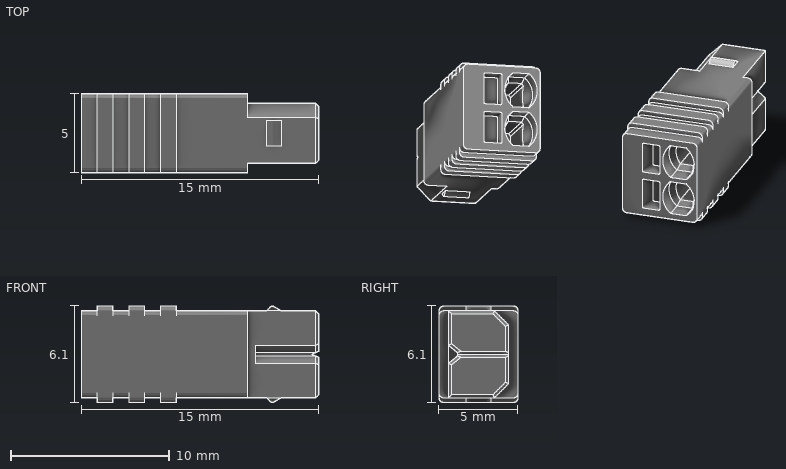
import cadquery as cq
import math

body_length = 10.5
body_width = 5.0
body_height = 5.5
edge_radius = 0.3

ridge_count = 3
ridge_width = 1.0
ridge_pitch = 2.0
ridge_start = 1.0
ridge_height = 0.3

total_length = 15.0
plug_width = 3.8
plug_half_width = plug_width / 2
half_height = body_height / 2
key_flat_edge = 1.0
key_slope = math.radians(45)
end_chamfer = 0.2

groove_start = 11.0
groove_depth = 0.58
groove_mouth_half = 0.57
groove_floor_half = 0.1

notch_depth = 0.44
notch_mouth_half = 0.19

latch_start = 11.7
latch_length = 0.93
latch_width = 1.6
latch_steep = math.radians(45)
latch_shallow = math.radians(30)
latch_tip_radius = 0.17

position_pitch = 2.5
position_heights = (-position_pitch / 2, position_pitch / 2)

window_y_min = 0.0
window_y_max = 1.15
window_height = 2.0
window_depth = 1.2
window_taper = 0.28
window_corner = 0.08

port_y = -1.25
mouth_half_width = 1.05
mouth_half_height = 1.1
mouth_flat_half = 0.52
passage_half_width = 0.72
passage_half_height = 0.82
passage_flat_half = 0.43
passage_side_wall = 0.54
mouth_depth = 1.2
funnel_depth = 0.4
port_depth = 5.0


def make_body():
    block = cq.Workplane("XY").box(body_length, body_width, body_height, centered=(False, True, True))
    return block.edges("|X").fillet(edge_radius)


def make_ridge(x_start, side):
    """Full-width rib whose outer edges are rounded; side is +1 for top, -1 for bottom."""
    height = edge_radius + ridge_height
    middle = side * (half_height + ridge_height - height / 2)
    rib = (
        cq.Workplane("XY")
        .box(ridge_width, body_width, height, centered=(False, True, True))
        .translate((x_start, 0, middle))
    )
    outer_face = ">Z" if side > 0 else "<Z"
    return rib.faces(outer_face).edges("|X").fillet(edge_radius)


def make_plug():
    key_drop = (plug_half_width - key_flat_edge) * math.tan(key_slope)
    profile = [
        (-plug_half_width, -half_height),
        (key_flat_edge, -half_height),
        (plug_half_width, -half_height + key_drop),
        (plug_half_width, half_height - key_drop),
        (key_flat_edge, half_height),
        (-plug_half_width, half_height),
    ]
    plug = (
        cq.Workplane("YZ", origin=(body_length, 0, 0))
        .polyline(profile)
        .close()
        .extrude(total_length - body_length)
    )
    plug = plug.cut(make_groove())
    plug = plug.faces(">X").chamfer(end_chamfer)
    return plug.cut(make_notch())


def make_groove():
    floor_y = -plug_half_width + groove_depth
    profile = [
        (-plug_half_width, -groove_mouth_half),
        (floor_y, -groove_floor_half),
        (floor_y, groove_floor_half),
        (-plug_half_width, groove_mouth_half),
    ]
    return (
        cq.Workplane("YZ", origin=(groove_start, 0, 0))
        .polyline(profile)
        .close()
        .extrude(total_length - groove_start)
    )


def make_notch():
    profile = [
        (total_length - notch_depth, 0),
        (total_length, notch_mouth_half),
        (total_length, -notch_mouth_half),
    ]
    return cq.Workplane("XZ").polyline(profile).close().extrude(plug_half_width, both=True)


def make_latch():
    """Tooth on the top face: steep toward the housing, shallow toward the plug end."""
    tip_height = latch_length / (1 / math.tan(latch_steep) + 1 / math.tan(latch_shallow))
    tip_x = latch_start + tip_height / math.tan(latch_steep)
    profile = [
        (latch_start, half_height),
        (tip_x, half_height + tip_height),
        (latch_start + latch_length, half_height),
    ]
    tooth = cq.Workplane("XZ").polyline(profile).close().extrude(latch_width / 2, both=True)
    return tooth.edges(">Z").fillet(latch_tip_radius)


def make_window(z):
    """Rectangular pocket whose +Y wall leans inward with depth."""
    profile = [
        (0, window_y_min),
        (window_depth, window_y_min),
        (window_depth, window_y_max - window_taper),
        (0, window_y_max),
    ]
    pocket = cq.Workplane("XY").polyline(profile).close().extrude(window_height / 2, both=True)
    long_edges = pocket.edges("not(|Y or |Z)")
    return long_edges.fillet(window_corner).translate((0, 0, z))


def port_outline(workplane, half_width, half_height, flat_half):
    """Flats above and below, joined by an arc on each side."""
    return (
        workplane.moveTo(flat_half, -half_height)
        .threePointArc((half_width, 0), (flat_half, half_height))
        .lineTo(-flat_half, half_height)
        .threePointArc((-half_width, 0), (-flat_half, -half_height))
        .close()
    )


def make_port(z):
    reach = (mouth_half_width - passage_side_wall) / (mouth_half_width - passage_half_width)
    end_half_height = mouth_half_height - reach * (mouth_half_height - passage_half_height)
    end_flat_half = mouth_flat_half - reach * (mouth_flat_half - passage_flat_half)

    mouth_size = (mouth_half_width, mouth_half_height, mouth_flat_half)
    mouth = port_outline(cq.Workplane("YZ", origin=(0, port_y, z)), *mouth_size).extrude(mouth_depth)

    funnel_plane = cq.Workplane("YZ", origin=(mouth_depth, port_y, z))
    funnel_mouth = port_outline(funnel_plane, *mouth_size)
    end_plane = funnel_mouth.workplane(offset=reach * funnel_depth)
    funnel = port_outline(end_plane, passage_side_wall, end_half_height, end_flat_half).loft(ruled=True)

    passage_start = mouth_depth + funnel_depth
    passage_plane = cq.Workplane("YZ", origin=(passage_start, port_y, z))
    passage_length = port_depth - passage_start
    passage_size = (passage_half_width, passage_half_height, passage_flat_half)
    passage = port_outline(passage_plane, *passage_size).extrude(passage_length)

    kept_width = passage_half_width + passage_side_wall
    kept_middle = (passage_half_width - passage_side_wall) / 2
    kept_side = (
        passage_plane.center(kept_middle, 0)
        .rect(kept_width, 2 * passage_half_height)
        .extrude(passage_length)
    )
    return mouth.union(funnel).union(passage.intersect(kept_side))


result = make_body().union(make_plug())

for index in range(ridge_count):
    for side in (1, -1):
        result = result.union(make_ridge(ridge_start + index * ridge_pitch, side))

latch = make_latch()
result = result.union(latch).union(latch.mirror("XY"))

for z in position_heights:
    result = result.cut(make_window(z)).cut(make_port(z))